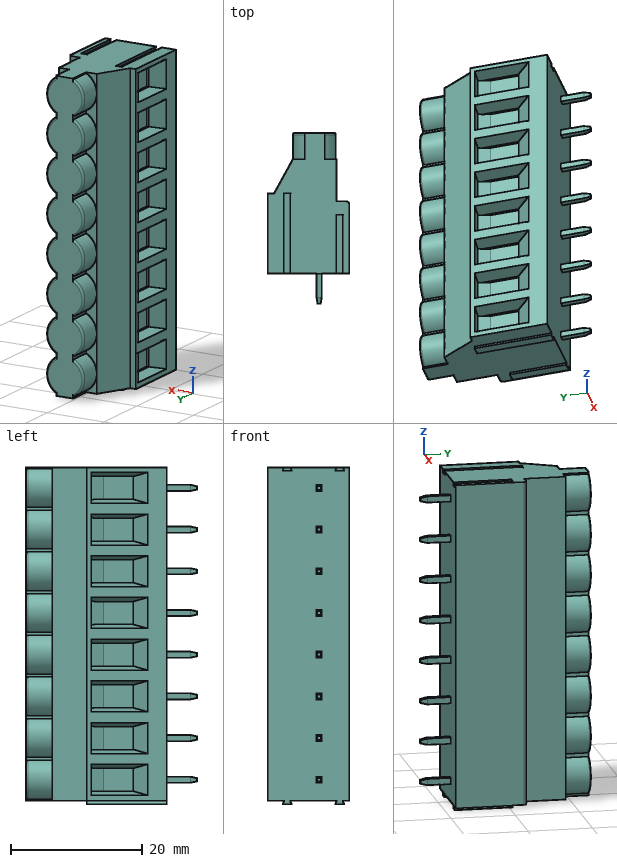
import cadquery as cq


overall_height = 51.4
body_width = 12.5
body_depth = 21.5
tab_height = 0.5
body_height = overall_height - tab_height

pole_count = 8
pole_pitch = body_height / pole_count
first_pole_z = 3.25
pole_heights = [first_pole_z + i * pole_pitch for i in range(pole_count)]

entry_depth = 12.25
entry_ledge = 1.0
shoulder_left = 3.85
shoulder_depth = 17.5
back_wall_x = 10.55
back_ledge_depth = 11.05
back_corner_radius = 0.5
rib_left = 5.7
rib_right = 8.75
rib_corner_radius = 0.25

tower_radius = 3.3
tower_x = shoulder_left + tower_radius
tower_edge_radius = 0.3

pocket_front = 2.95
pocket_back = 11.5
pocket_depth = 2.2
pocket_height = 4.75
pocket_side_taper = 0.6
pocket_floor_break = 9.7
pocket_back_depth = 1.7
funnel_depth = 1.85
pocket_floor_front = 5.1

dovetails = [(3.0, entry_depth), (11.0, 9.0)]
dovetail_neck = 1.0
dovetail_base = 1.4

pin_x = 7.85
pin_length = 4.65
pin_width = 0.8
pin_height = 1.0
pin_taper_length = 1.05
pin_tip_width = 0.5
pin_tip_height = 0.5
pin_root_depth = 0.5


def make_body():
    """Stepped housing with a central rib running along its back."""
    outline = [
        (0, 0),
        (body_width, 0),
        (body_width, back_ledge_depth),
        (back_wall_x, back_ledge_depth),
        (back_wall_x, shoulder_depth),
        (rib_right, shoulder_depth),
        (rib_right, body_depth),
        (rib_left, body_depth),
        (rib_left, shoulder_depth),
        (shoulder_left, shoulder_depth),
        (entry_ledge, entry_depth),
        (0, entry_depth),
    ]
    body = cq.Workplane("XY").polyline(outline).close().extrude(body_height)
    middle = body_height / 2
    body = body.edges(cq.NearestToPointSelector((body_width, back_ledge_depth, middle)))
    body = body.fillet(back_corner_radius)
    body = body.edges(cq.NearestToPointSelector((rib_right, body_depth, middle)))
    return body.fillet(rib_corner_radius)


def make_tower(z):
    """Round screw tower standing on the shoulder."""
    tower = cq.Workplane("XZ", origin=(tower_x, shoulder_depth, z)).circle(tower_radius)
    tower = tower.extrude(shoulder_depth - body_depth)
    return tower.faces(">Y").edges().fillet(tower_edge_radius)


def make_pocket(z):
    """Wire entry pocket: a tapered mouth, then straight walls down to a floor sloped at its rear."""
    side_outline = [
        (0, pocket_front),
        (funnel_depth, pocket_floor_front),
        (pocket_depth, pocket_floor_front),
        (pocket_depth, pocket_floor_break),
        (pocket_back_depth, pocket_back),
        (0, pocket_back),
    ]
    mouth = pocket_height / 2
    floor = mouth - pocket_side_taper
    funnel_outline = [
        (0, -mouth),
        (funnel_depth, -floor),
        (pocket_depth, -floor),
        (pocket_depth, floor),
        (funnel_depth, floor),
        (0, mouth),
    ]
    side = cq.Workplane("XY", origin=(0, 0, z - mouth)).polyline(side_outline).close()
    funnel = cq.Workplane("XZ", origin=(0, 0, z)).polyline(funnel_outline).close()
    return side.extrude(pocket_height).intersect(funnel.extrude(-pocket_back))


def make_dovetail(x, length, z):
    """Dovetail bar along Y whose neck is at height z and whose wide base lies below."""
    neck = dovetail_neck / 2
    base = dovetail_base / 2
    outline = [(-neck, 0), (neck, 0), (base, -tab_height), (-base, -tab_height)]
    return cq.Workplane("XZ", origin=(x, 0, z)).polyline(outline).close().extrude(-length)


def make_pin(z):
    """Rectangular pin, tapered at its tip and rooted inside the body."""
    straight_end = pin_length - pin_taper_length
    shaft = cq.Workplane("XZ", origin=(pin_x, pin_root_depth, z)).rect(pin_width, pin_height)
    shaft = shaft.extrude(pin_root_depth + straight_end)
    tip = cq.Workplane("XZ", origin=(pin_x, -straight_end, z)).rect(pin_width, pin_height)
    tip = tip.workplane(offset=pin_taper_length).rect(pin_tip_width, pin_tip_height)
    return shaft.union(tip.loft(ruled=True))


result = make_body()

row_limits = cq.Workplane("XY").box(body_width, body_depth, body_height, centered=False)
for pole_z in pole_heights:
    result = result.union(make_tower(pole_z).intersect(row_limits))

for pole_z in pole_heights:
    result = result.cut(make_pocket(pole_z)).union(make_pin(pole_z))

for joint_x, joint_length in dovetails:
    result = result.cut(make_dovetail(joint_x, joint_length, body_height))
    result = result.union(make_dovetail(joint_x, joint_length, 0))